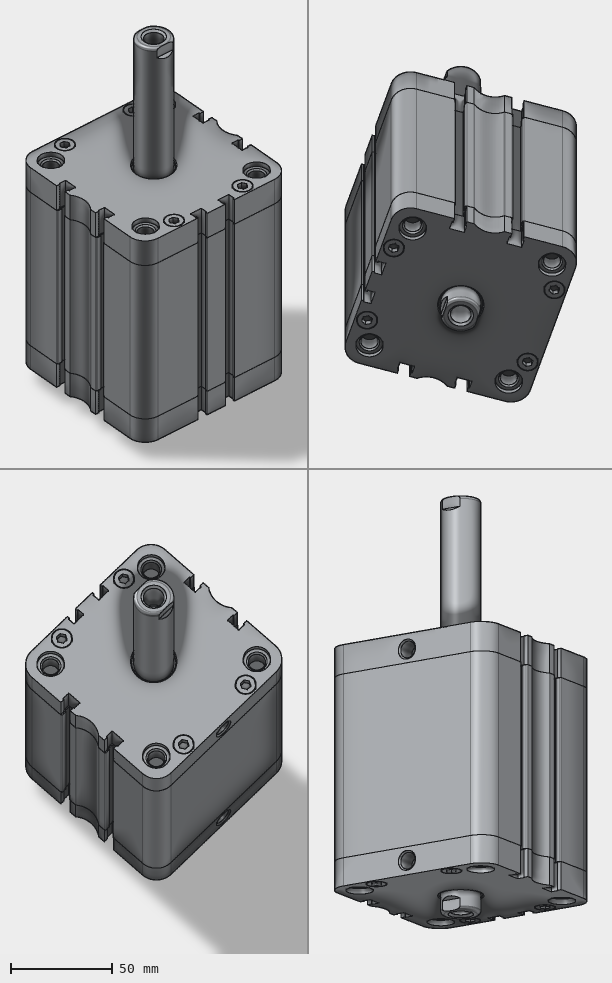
import cadquery as cq
import math

ROD_LENGTH = 212.0
BODY_SIDE = 95.5
BODY_BOTTOM = 9.5
BOTTOM_CAP_HEIGHT = 14.5
TUBE_HEIGHT = 94.1
TOP_CAP_HEIGHT = 15.0
TUBE_BOTTOM = BODY_BOTTOM + BOTTOM_CAP_HEIGHT
TUBE_TOP = TUBE_BOTTOM + TUBE_HEIGHT

HALF_SIDE = BODY_SIDE / 2
CORNER_RADIUS = 10.0
GROOVE_RADIUS = 12.5
GROOVE_DEPTH = 2.8

SIDE_SLOT_X = 14.8
SIDE_SLOT_DEPTH = 6.4
SIDE_SLOT_LIP = 3.0
SIDE_SLOT_MOUTH = 5.0
SIDE_SLOT_WIDTH = 6.4
CAP_SLOT_CLEARANCE = 0.6
TUBE_EDGE_FILLET = 0.6
EDGE_SEARCH_X = SIDE_SLOT_X + SIDE_SLOT_MOUTH

END_SLOT_Y = 9.0
END_SLOT_DEPTH = 5.0
END_SLOT_LIP = 1.3
END_SLOT_MOUTH = 5.7
END_SLOT_WIDTH = 7.0

ROD_DIAMETER = 20.0
ROD_END_FILLET = 1.7
FLATS_WIDTH = 17.0
FLATS_LENGTH = 5.7
THREAD_DIAMETER = 10.2
THREAD_DEPTH = 21.2
THREAD_MOUTH_DIAMETER = 12.5
DRILL_TIP_ANGLE = 120.0

ROD_RECESS_DIAMETER = 21.8
ROD_RECESS_DEPTH = 2.1
ROD_RECESS_MOUTH_DIAMETER = 23.0

MOUNT_OFFSET = 36.0
MOUNT_BORE_DIAMETER = 13.5
MOUNT_BORE_DEPTH = 2.8
MOUNT_HOLE_DIAMETER = 8.5
MOUNT_HOLE_MOUTH_DIAMETER = 10.2
MOUNT_HOLE_DEPTH = 11.7

SCREW_X = 41.5
SCREW_Y = 22.3
SCREW_GAP_OUTER = 10.4
SCREW_GAP_INNER = 9.8
SCREW_GAP_DEPTH = 2.1
SOCKET_ACROSS_FLATS = 4.7
SOCKET_DEPTH = 3.2
SOCKET_TURN = 30

PORT_DIAMETER = 8.5
PORT_MOUTH_DIAMETER = 10.2
PORT_DEPTH = 10.5
PORT_FROM_INNER_FACE = 7.0


def t_slot(mouth, width, lip, depth, height):
    """T-slot cutter that opens at y = 0 and runs into +Y."""
    neck = cq.Workplane("XY").box(mouth, 2 * lip, height, centered=(True, True, False))
    channel = (
        cq.Workplane("XY")
        .box(width, depth - lip, height, centered=(True, False, False))
        .translate((0, lip, 0))
    )
    return neck.union(channel)


def profile_block(height, slot_clearance):
    """Square block with rounded corners, T-slots and a shallow groove; base at z = 0."""
    block = (
        cq.Workplane("XY")
        .box(BODY_SIDE, BODY_SIDE, height, centered=(True, True, False))
        .edges("|Z")
        .fillet(CORNER_RADIUS)
    )
    side_slot = t_slot(
        SIDE_SLOT_MOUTH + 2 * slot_clearance,
        SIDE_SLOT_WIDTH + 2 * slot_clearance,
        SIDE_SLOT_LIP - slot_clearance,
        SIDE_SLOT_DEPTH,
        height,
    ).translate((0, -HALF_SIDE, 0))
    groove = (
        cq.Workplane("XY")
        .circle(GROOVE_RADIUS)
        .extrude(height)
        .translate((0, -HALF_SIDE - GROOVE_RADIUS + GROOVE_DEPTH, 0))
    )
    for face_angle in (0, 180):
        for x in (-SIDE_SLOT_X, SIDE_SLOT_X):
            cutter = side_slot.translate((x, 0, 0))
            block = block.cut(cutter.rotate((0, 0, 0), (0, 0, 1), face_angle))
        block = block.cut(groove.rotate((0, 0, 0), (0, 0, 1), face_angle))

    end_slot = (
        t_slot(END_SLOT_MOUTH, END_SLOT_WIDTH, END_SLOT_LIP, END_SLOT_DEPTH, height)
        .translate((0, -HALF_SIDE, 0))
        .rotate((0, 0, 0), (0, 0, 1), 90)
    )
    for y in (-END_SLOT_Y, END_SLOT_Y):
        block = block.cut(end_slot.translate((0, y, 0)))
    return block


def cone(bottom_diameter, top_diameter, height):
    """Cone frustum on the Z axis with its base at z = 0."""
    return cq.Workplane("XY").add(cq.Solid.makeCone(bottom_diameter / 2, top_diameter / 2, height))


def bore(diameter, top, depth):
    """Cylindrical cutter on the Z axis that goes down from z = top."""
    return cq.Workplane("XY").workplane(offset=top - depth).circle(diameter / 2).extrude(depth)


def chamfered_bore(diameter, mouth_diameter, top, depth):
    """Bore with a 45 degree chamfer at its mouth."""
    chamfer = (mouth_diameter - diameter) / 2
    mouth = cone(diameter, mouth_diameter, chamfer).translate((0, 0, top - chamfer))
    return bore(diameter, top, depth).union(mouth)


def make_tube():
    tube = profile_block(TUBE_HEIGHT, 0)
    between_corners = cq.selectors.BoxSelector(
        (-EDGE_SEARCH_X, -BODY_SIDE, 0),
        (EDGE_SEARCH_X, BODY_SIDE, TUBE_HEIGHT),
    )
    for face in ("<Y", ">Y"):
        tube = tube.faces(face).edges("|Z").edges(between_corners).fillet(TUBE_EDGE_FILLET)
    return tube.cut(bore(ROD_DIAMETER, TUBE_HEIGHT, TUBE_HEIGHT)).translate((0, 0, TUBE_BOTTOM))


def make_cap(height):
    """Cap with its inner face at z = 0 and its outer face up."""
    cap = profile_block(height, CAP_SLOT_CLEARANCE)

    rod_hole = bore(ROD_DIAMETER, height, height)
    rod_recess = chamfered_bore(ROD_RECESS_DIAMETER, ROD_RECESS_MOUTH_DIAMETER, height, ROD_RECESS_DEPTH)
    cap = cap.cut(rod_hole).cut(rod_recess)

    mount_floor = height - MOUNT_BORE_DEPTH
    mount_hole = bore(MOUNT_BORE_DIAMETER, height, MOUNT_BORE_DEPTH).union(
        chamfered_bore(
            MOUNT_HOLE_DIAMETER,
            MOUNT_HOLE_MOUTH_DIAMETER,
            mount_floor,
            MOUNT_HOLE_DEPTH - MOUNT_BORE_DEPTH,
        )
    )
    socket = (
        cq.Workplane("XY")
        .workplane(offset=height - SOCKET_DEPTH)
        .polygon(6, SOCKET_ACROSS_FLATS / math.cos(math.pi / 6))
        .extrude(SOCKET_DEPTH)
        .rotate((0, 0, 0), (0, 0, 1), SOCKET_TURN)
    )
    screw_gap = bore(SCREW_GAP_OUTER, height, SCREW_GAP_DEPTH).cut(
        bore(SCREW_GAP_INNER, height, SCREW_GAP_DEPTH)
    )
    for side_x in (-1, 1):
        for side_y in (-1, 1):
            cap = cap.cut(mount_hole.translate((side_x * MOUNT_OFFSET, side_y * MOUNT_OFFSET, 0)))
            screw_place = (side_x * SCREW_X, side_y * SCREW_Y, 0)
            cap = cap.cut(socket.translate(screw_place)).cut(screw_gap.translate(screw_place))

    port = (
        chamfered_bore(PORT_DIAMETER, PORT_MOUTH_DIAMETER, HALF_SIDE, PORT_DEPTH)
        .rotate((0, 0, 0), (0, 1, 0), -90)
        .translate((0, 0, PORT_FROM_INNER_FACE))
    )
    return cap.cut(port)


def rod_end_flats():
    """Cutter for the two wrench flats of the upper rod end; each flat runs out at 45 degrees."""
    flat_x = FLATS_WIDTH / 2
    runout = ROD_DIAMETER / 2 - flat_x
    flat_bottom = ROD_LENGTH - FLATS_LENGTH
    one_side = (
        cq.Workplane("XZ")
        .moveTo(flat_x, ROD_LENGTH)
        .lineTo(flat_x, flat_bottom)
        .lineTo(flat_x + runout, flat_bottom - runout)
        .lineTo(flat_x + runout, ROD_LENGTH)
        .close()
        .extrude(ROD_DIAMETER / 2, both=True)
    )
    return one_side.union(one_side.mirror("YZ"))


def threaded_hole():
    """Cutter for the axial thread hole of the upper rod end, with a drill tip."""
    tip_height = THREAD_DIAMETER / 2 / math.tan(math.radians(DRILL_TIP_ANGLE / 2))
    tip = cone(0, THREAD_DIAMETER, tip_height).translate((0, 0, ROD_LENGTH - THREAD_DEPTH - tip_height))
    return chamfered_bore(THREAD_DIAMETER, THREAD_MOUTH_DIAMETER, ROD_LENGTH, THREAD_DEPTH).union(tip)


def make_rod():
    """Rod with the same rounded rim, wrench flats and thread hole at both ends."""
    rod = cq.Workplane("XY").circle(ROD_DIAMETER / 2).extrude(ROD_LENGTH).edges("%CIRCLE")
    rod = rod.fillet(ROD_END_FILLET)
    for cutter in (rod_end_flats(), threaded_hole()):
        lower_cutter = cutter.mirror("XY").translate((0, 0, ROD_LENGTH))
        rod = rod.cut(cutter).cut(lower_cutter)
    return rod


tube = make_tube()
top_cap = make_cap(TOP_CAP_HEIGHT).translate((0, 0, TUBE_TOP))
bottom_cap = make_cap(BOTTOM_CAP_HEIGHT).mirror("XY").translate((0, 0, TUBE_BOTTOM))
rod = make_rod()

result = cq.Compound.makeCompound([tube.val(), top_cap.val(), bottom_cap.val(), rod.val()])